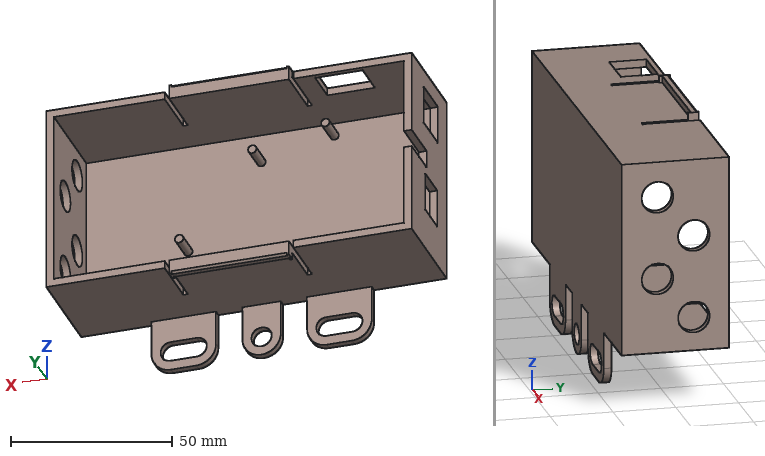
import cadquery as cq

length = 119.4
depth = 34.3
height = 62.1
wall = 2.5
mid_x = length / 2

tongue_width = 39.2
slot_width = 1.4
slot_depth = 18.3

latch_height = 2.1
cheek_depth = 3.5
cheek_thickness = 0.7
ridge_setback = 1.0
ridge_chamfer = 0.7

tab_pitch = 25.4
tab_hole_drop = 11.5
hole_diameter = 6.6
round_tab_width = 12.5
wide_tab_width = 21.1
wide_tab_corner = 6.5
tab_slot_length = 15.0

upper_window = (8.6, 22.3, 43.5, 56.1)
lower_window = (9.3, 20.9, 13.6, 26.3)
cable_notch = (19.7, depth, 29.1, 34.9)

roof_window_x = 16.6
roof_window_y = 20.7
roof_window_length = 15.5
roof_window_width = 11.8

vent_diameter = 10.0
vent_lowest_z = 10.9
vent_pitch = 13.3
vent_rows_y = (23.0, 11.5)
vent_count = 4

pin_diameter = 2.7
pin_tip_y = 11.6
pin_pitch = 23.9
pin_places = ((mid_x - pin_pitch, 55.3), (mid_x, 50.0), (mid_x + pin_pitch, 22.6))


def block(x0, x1, y0, y1, z0, z1):
    """Axis-aligned block between two opposite corners."""
    return cq.Workplane("XY").box(x1 - x0, y1 - y0, z1 - z0, centered=False).translate((x0, y0, z0))


def front_sketch():
    """Sketch on the front face with X and Z axes; a negative extrusion runs inward, toward +Y."""
    return cq.Workplane("XZ")


def make_shell():
    outer = block(0, length, 0, depth, 0, height)
    cavity = block(wall, length - wall, wall, depth, wall, height - wall)
    return outer.cut(cavity)


def make_tongue_slots():
    """Two slots, each passing through both the floor and the roof."""
    offset = (tongue_width + slot_width) / 2
    return (
        cq.Workplane("XY")
        .pushPoints([(mid_x - offset, depth - slot_depth / 2), (mid_x + offset, depth - slot_depth / 2)])
        .rect(slot_width, slot_depth)
        .extrude(height)
    )


def make_roof_latch():
    left = mid_x - tongue_width / 2
    right = mid_x + tongue_width / 2
    crest = height + latch_height
    root = height - wall
    ridge_front = depth - cheek_depth + ridge_setback
    ridge = (
        block(left, right, ridge_front, depth, root, crest)
        .faces(">Y").edges(">Z")
        .chamfer(ridge_chamfer)
    )
    for x in (left, right - cheek_thickness):
        ridge = ridge.union(block(x, x + cheek_thickness, depth - cheek_depth, depth, root, crest))
    return ridge


def make_round_tab():
    radius = round_tab_width / 2
    return (
        front_sketch()
        .moveTo(mid_x - radius, wall)
        .lineTo(mid_x - radius, -tab_hole_drop)
        .threePointArc((mid_x, -tab_hole_drop - radius), (mid_x + radius, -tab_hole_drop))
        .lineTo(mid_x + radius, wall)
        .close()
        .extrude(-wall)
        .cut(front_sketch().center(mid_x, -tab_hole_drop).circle(hole_diameter / 2).extrude(-wall))
    )


def make_wide_tab(center_x):
    half = wide_tab_width / 2
    bottom = -tab_hole_drop - wide_tab_corner
    plate = block(center_x - half, center_x + half, 0, wall, bottom, wall)
    plate = plate.faces("<Z").edges("|Y").fillet(wide_tab_corner)
    slot = (
        front_sketch()
        .center(center_x, -tab_hole_drop)
        .slot2D(tab_slot_length, hole_diameter)
        .extrude(-wall)
    )
    return plate.cut(slot)


def make_vents():
    places = [(vent_rows_y[i % 2], vent_lowest_z + i * vent_pitch) for i in range(vent_count)]
    return (
        cq.Workplane("YZ", origin=(length - wall, 0, 0))
        .pushPoints(places)
        .circle(vent_diameter / 2)
        .extrude(wall)
    )


def make_pins():
    return front_sketch().pushPoints(pin_places).circle(pin_diameter / 2).extrude(-pin_tip_y)


shell = make_shell().cut(make_tongue_slots()).cut(make_vents())

for y_near, y_far, z_low, z_high in (upper_window, lower_window, cable_notch):
    shell = shell.cut(block(0, wall, y_near, y_far, z_low, z_high))

shell = shell.cut(
    block(
        roof_window_x, roof_window_x + roof_window_length,
        roof_window_y, roof_window_y + roof_window_width,
        height - wall, height,
    )
)

roof_latch = make_roof_latch()
floor_latch = roof_latch.mirror("XY", (0, 0, height / 2))

result = shell.union(roof_latch).union(floor_latch).union(make_round_tab()).union(make_pins())
for tab_x in (mid_x - tab_pitch, mid_x + tab_pitch):
    result = result.union(make_wide_tab(tab_x))